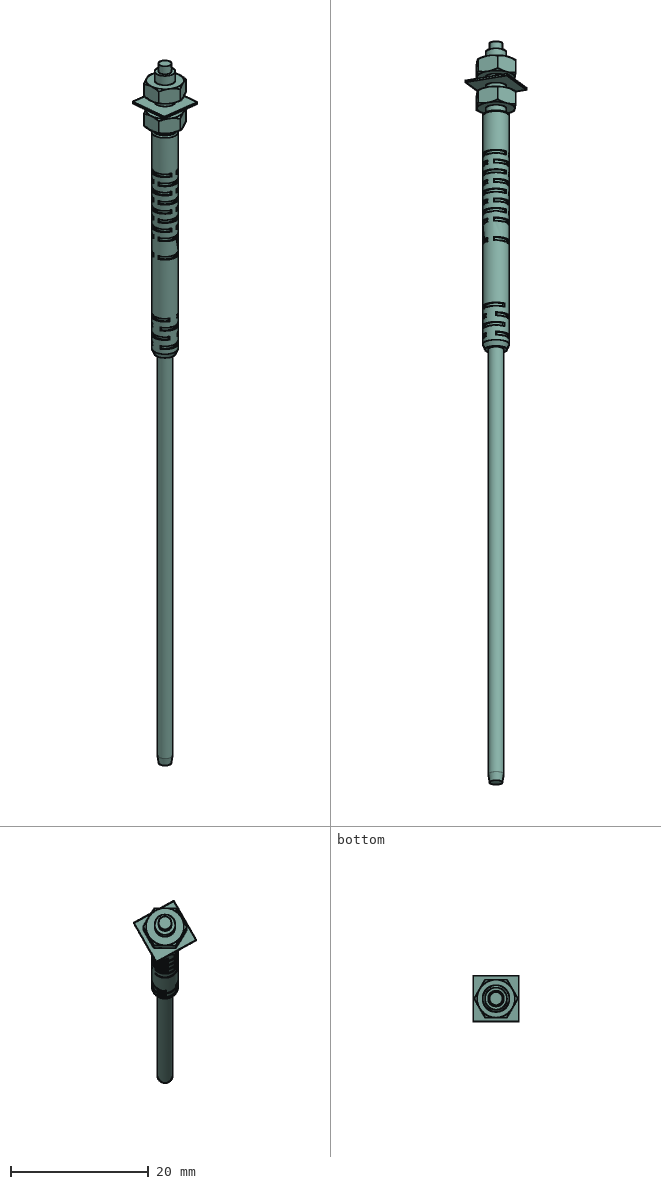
import cadquery as cq
import math

total_length = 114.46

tip_radius = 0.95
tip_length = 1.3
thread_radius = 1.5
barrel_radius = 1.95
barrel_top = 10.95
barrel_bottom = 47.4
barrel_top_chamfer = 0.25
barrel_bottom_taper_length = 0.8
barrel_bottom_radius = 1.6
rod_radius = 1.15
rod_end_length = 1.3
rod_end_radius = 0.95

slot_height = 0.5
slot_pitch = 1.5
slot_depth = 0.25
slot_core_radius = barrel_radius - slot_depth
upper_slot_count = 8
upper_slot_top = 17.15
single_slot_top = upper_slot_top + (upper_slot_count + 1) * slot_pitch
upper_bridge_width = 1.0
lower_slot_count = 4
lower_slot_top = 40.8
lower_bridge_width = 1.6

nut_across_flats = 5.5
nut_across_corners = nut_across_flats / math.cos(math.radians(30))
nut_thickness = 2.4
nut_chamfer_angle = 30
upper_nut_top = 2.8
lower_nut_top = 7.65

washer_side = 6.66
washer_thickness = 0.3
washer_top = 6.3


def plane_at(depth):
    return cq.Workplane("XY", origin=(0, 0, -depth))


def revolve_about_z(outline):
    return cq.Workplane("XZ").polyline(outline).close().revolve(360, (0, 0, 0), (0, 1, 0))


def make_slot_pair(top, bridge_width, opens_along_x):
    """Cutter for a ring groove that leaves two opposed bridges standing."""
    bottom = top + slot_height
    groove = plane_at(bottom).circle(2 * barrel_radius).circle(slot_core_radius).extrude(slot_height)
    if opens_along_x:
        bridge_size = (bridge_width, 4 * barrel_radius)
    else:
        bridge_size = (4 * barrel_radius, bridge_width)
    return groove.cut(plane_at(bottom).rect(*bridge_size).extrude(slot_height))


def make_stem():
    stem = revolve_about_z([
        (0, 0),
        (tip_radius, 0),
        (tip_radius, -tip_length),
        (thread_radius, -tip_length),
        (thread_radius, -barrel_top),
        (barrel_radius - barrel_top_chamfer, -barrel_top),
        (barrel_radius, -barrel_top - barrel_top_chamfer),
        (barrel_radius, -barrel_bottom + barrel_bottom_taper_length),
        (barrel_bottom_radius, -barrel_bottom),
        (rod_radius, -barrel_bottom),
        (rod_radius, -total_length + rod_end_length),
        (rod_end_radius, -total_length),
        (0, -total_length),
    ])
    for level in range(upper_slot_count):
        top = upper_slot_top + level * slot_pitch
        stem = stem.cut(make_slot_pair(top, upper_bridge_width, level % 2 == 1))
    stem = stem.cut(make_slot_pair(single_slot_top, upper_bridge_width, True))
    for level in range(lower_slot_count):
        top = lower_slot_top + level * slot_pitch
        stem = stem.cut(make_slot_pair(top, lower_bridge_width, level % 2 == 1))
    return stem


def make_nut(top):
    """Hexagon nut whose corners are turned down by a shallow cone on both faces."""
    bottom = top + nut_thickness
    face_radius = nut_across_flats / 2
    corner_radius = nut_across_corners / 2
    corner_drop = (corner_radius - face_radius) * math.tan(math.radians(nut_chamfer_angle))
    turned_blank = revolve_about_z([
        (0, -top),
        (face_radius, -top),
        (corner_radius, -top - corner_drop),
        (corner_radius, -bottom + corner_drop),
        (face_radius, -bottom),
        (0, -bottom),
    ])
    hexagon = plane_at(bottom).polygon(6, nut_across_corners).circle(thread_radius).extrude(nut_thickness)
    return hexagon.intersect(turned_blank)


def make_washer():
    bottom = washer_top + washer_thickness
    return plane_at(bottom).rect(washer_side, washer_side).circle(thread_radius).extrude(washer_thickness)


stem = make_stem()
nuts = [make_nut(top) for top in (upper_nut_top, lower_nut_top)]
washer = make_washer()

result = cq.Compound.makeCompound([
    stem.solids().val(),
    *[nut.solids().val() for nut in nuts],
    washer.solids().val(),
])